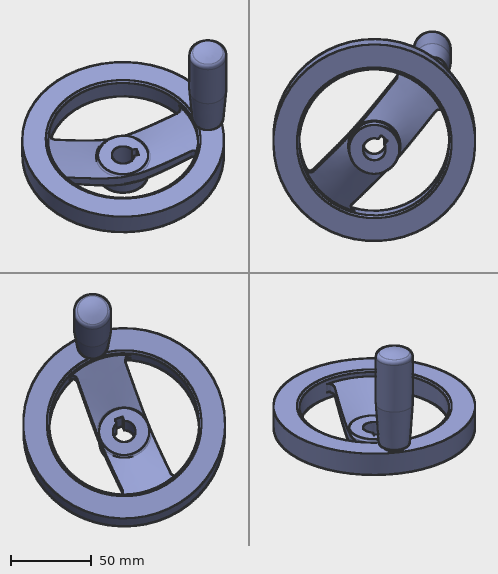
import cadquery as cq
import math

rim_radius = 62.52
rim_opening_radius = 46.4
rim_bottom = 18.0
rim_height = 15.0
rim_top = rim_bottom + rim_height
lip_width = 1.5
lip_depth = 1.0

hub_radius = 15.5
hub_top = rim_bottom
bore_radius = 7.0
key_width = 5.0
key_reach = 9.4
hub_fillet = 0.86

spoke_half_width = 15.9
spoke_base = 9.0
spoke_base_radius = 16.2
spoke_corner_radius = 3.0
dish_floor_slope = 0.47
dish_top_slope = 0.42
dish_top_height = 28.9
spoke_end_radius = rim_opening_radius + 3.9

handle_offset = 54.5
handle_radius = 11.5
handle_bottom = 35.5
handle_end_radius = 9.8
handle_end_chamfer_width = 0.4
handle_end_chamfer_height = 1.0
grip_start = 63.4
shoulder_height = 96.1
dome_radius = 9.4
dome_base = 99.0
handle_top = 100.5
neck_radius = 6.5


def make_rim():
    """Flat ring with a shallow bevel around both ends of its opening."""
    profile = (
        cq.Workplane("XZ")
        .moveTo(rim_opening_radius, rim_bottom + lip_depth)
        .lineTo(rim_opening_radius + lip_width, rim_bottom)
        .lineTo(rim_radius, rim_bottom)
        .lineTo(rim_radius, rim_top)
        .lineTo(rim_opening_radius + lip_width, rim_top)
        .lineTo(rim_opening_radius, rim_top - lip_depth)
        .close()
    )
    return profile.revolve(360, (0, 0, 0), (0, 1, 0))


def make_dish():
    """Conical dish with the hub top standing in it, joined by a fillet."""

    def floor_z(radius):
        return spoke_base + (radius - spoke_base_radius) * dish_floor_slope

    def top_z(radius):
        return dish_top_height + (radius - rim_opening_radius) * dish_top_slope

    cone_angle = math.atan(dish_top_slope)
    fillet_end = hub_radius + hub_fillet * (1 + math.sin(cone_angle))
    fillet_top = top_z(fillet_end) + hub_fillet * math.cos(cone_angle)
    profile = (
        cq.Workplane("XZ")
        .moveTo(0, spoke_base)
        .lineTo(spoke_base_radius, spoke_base)
        .lineTo(spoke_end_radius, floor_z(spoke_end_radius))
        .lineTo(spoke_end_radius, top_z(spoke_end_radius))
        .lineTo(fillet_end, top_z(fillet_end))
        .radiusArc((hub_radius, fillet_top), hub_fillet)
        .lineTo(hub_radius, hub_top)
        .lineTo(0, hub_top)
        .close()
    )
    return profile.revolve(360, (0, 0, 0), (0, 1, 0))


def make_spokes():
    """Dish trimmed to two spokes by a window on each side."""
    spoke_blank = cq.Workplane("XY").rect(2 * spoke_half_width, 2 * rim_radius).extrude(rim_top)
    windows = (
        cq.Workplane("XY")
        .circle(rim_opening_radius)
        .extrude(rim_top)
        .cut(spoke_blank)
    )
    window_corner_y = math.sqrt(rim_opening_radius**2 - spoke_half_width**2)
    corner_points = [
        (side * spoke_half_width, end * window_corner_y, rim_top / 2)
        for side in (-1, 1)
        for end in (-1, 1)
    ]
    for point in corner_points:
        corner_edge = cq.selectors.NearestToPointSelector(point)
        windows = windows.edges("|Z").edges(corner_edge).fillet(spoke_corner_radius)
    return make_dish().cut(windows)


def make_bore():
    """Round through bore with a keyway on the +Y side."""
    bore = cq.Workplane("XY").circle(bore_radius).extrude(hub_top)
    keyway = cq.Workplane("XY").center(0, key_reach / 2).rect(key_width, key_reach).extrude(hub_top)
    return bore.union(keyway)


def make_handle():
    """Turned grip with a tapered lower half, domed top and a thin neck."""
    dome_rise = handle_top - dome_base
    dome_sphere_radius = (dome_radius**2 + dome_rise**2) / (2 * dome_rise)
    profile = (
        cq.Workplane("XZ")
        .moveTo(0, rim_bottom)
        .lineTo(neck_radius, rim_bottom)
        .lineTo(neck_radius, handle_bottom)
        .lineTo(handle_end_radius - handle_end_chamfer_width, handle_bottom)
        .lineTo(handle_end_radius, handle_bottom + handle_end_chamfer_height)
        .lineTo(handle_radius, grip_start)
        .lineTo(handle_radius, shoulder_height)
        .tangentArcPoint((dome_radius, dome_base), relative=False)
        .radiusArc((0, handle_top), -dome_sphere_radius)
        .close()
    )
    return profile.revolve(360, (0, 0, 0), (0, 1, 0)).translate((0, handle_offset, 0))


hub = cq.Workplane("XY").circle(hub_radius).extrude(hub_top)
wheel = make_rim().union(make_spokes()).union(hub).cut(make_bore())
result = wheel.union(make_handle())